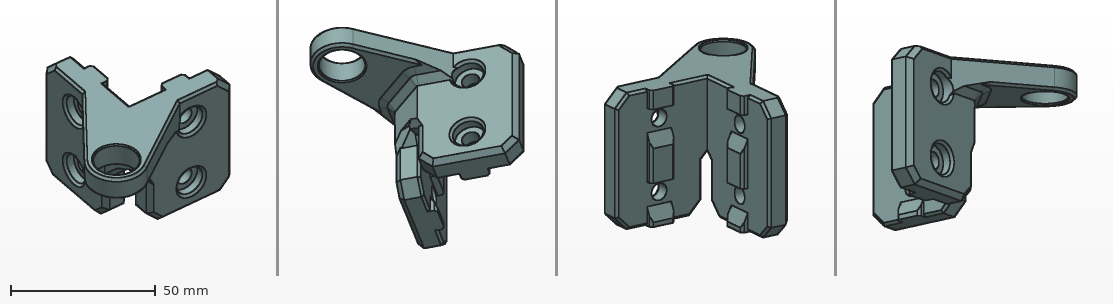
import cadquery as cq
import math


OVERALL = 70.5
HEIGHT = 50.0
LEG = 38.0
WALL = 9.0
CORNER_CUT = 5.0
OUTER_BEVEL = 2.0
EDGE_BEVEL = 1.0
BEVEL_ANGLE = 45.0
CORNER_SETBACK = 11.0

NOTCH_GAP = 2.0
NOTCH_SLOPE_START = 19.6
NOTCH_BEVEL_START = 20.0
NOTCH_TOP = HEIGHT / 2

RING_RADIUS = 11.0
RING_BORE = 16.0
RING_BORE_BEVEL = 0.5
RING_OFFSET = OVERALL - LEG - RING_RADIUS
ARM_THICKNESS = 9.0
ARM_START = 15.0
GUSSET_DROP = 13.0
GUSSET_STEEP = 2.7
GUSSET_SHALLOW_ANGLE = 22.5

RIB_CENTRE = 20.0
RIB_WIDTH = 10.15
RIB_HEIGHT = 2.5
RIB_RAMP = 5.2
TOP_RIB_BASE = 43.0
MIDDLE_RIB_BASE = 16.0
MIDDLE_RIB_TOP = 34.0
BOTTOM_RIB_TOP = 7.0
HOLE_DIAMETER = 6.3
COUNTERBORE_DIAMETER = 11.0
COUNTERBORE_DEPTH = 4.0
HEAD_CLEARANCE = 7.05
FRONT_HOLE_SPACING = 26.0
SIDE_HOLE_SPACING = 27.0

SPACE = 281.95


def half_space(point, normal, along):
    """Block that fills the side of a plane that its normal points to."""
    plane = cq.Plane(origin=point, xDir=along, normal=normal)
    return cq.Workplane(plane).rect(SPACE, SPACE).extrude(SPACE)


def mirrored(body):
    """Copy of a front plate feature on the side plate."""
    return body.mirror(cq.Vector(1, 1, 0), (0, 0, 0))


def plan(points, base, top):
    """Upright prism over a closed polygon in plan."""
    return cq.Workplane("XY", origin=(0, 0, base)).polyline(points).close().extrude(top - base)


def front_panel():
    """Bevelled front plate up to the notch."""
    low, high = CORNER_CUT, HEIGHT - CORNER_CUT
    left, right = -LEG, -NOTCH_GAP
    outline = [
        (left, low), (left + CORNER_CUT, 0), (right - CORNER_CUT, 0), (right, low),
        (right, HEIGHT), (left + CORNER_CUT, HEIGHT), (left, high),
    ]
    panel = cq.Workplane("XZ").polyline(outline).close().extrude(WALL)
    panel = panel.faces("<Y").edges("not >Z").chamfer(OUTER_BEVEL)
    panel = panel.faces("<Y").edges(">Z").chamfer(EDGE_BEVEL)
    return panel.faces(">Y").edges().chamfer(EDGE_BEVEL)


def front_corner():
    """Part of the front plate between the notch and the mitre plane."""
    left = -NOTCH_GAP - OUTER_BEVEL
    flat_start = WALL - CORNER_SETBACK
    flat_middle = WALL - CORNER_SETBACK / 2
    footprint = [(left, 0), (left, -WALL), (flat_start, -WALL), (flat_middle, -flat_middle), (0, 0)]
    lower = plan(footprint, 0, NOTCH_TOP)
    upper = plan(footprint, NOTCH_TOP, HEIGHT)
    slope_edge = (-NOTCH_GAP, OUTER_BEVEL - WALL, NOTCH_SLOPE_START)
    outer_edge = (-NOTCH_GAP, OUTER_BEVEL - WALL, NOTCH_BEVEL_START)
    inner_edge = (-NOTCH_GAP, -EDGE_BEVEL, NOTCH_SLOPE_START)
    lower = lower.cut(half_space(slope_edge, (1, 0, -1), (0, 1, 0)))
    lower = lower.cut(half_space(outer_edge, (2, -1, -1), (1, 1, 1)))
    lower = lower.cut(half_space(inner_edge, (1, math.sqrt(2), -1), (1, 0, 1)))
    top_edge = half_space((0, -EDGE_BEVEL, HEIGHT), (0, 1, 1), (1, 0, 0))
    return lower.union(upper.cut(top_edge))


def rib(base, top, ramp):
    """Rib on the inner face of the front plate, with an optional ramp at its upper end."""
    root = -EDGE_BEVEL
    half = RIB_WIDTH / 2
    shoulder = half - EDGE_BEVEL
    section = [
        (-half, root), (half, root), (half, RIB_HEIGHT - EDGE_BEVEL), (shoulder, RIB_HEIGHT),
        (-shoulder, RIB_HEIGHT), (-half, RIB_HEIGHT - EDGE_BEVEL),
    ]
    body = plan(section, base, top)
    if ramp:
        body = body.cut(half_space((0, 0, top), (0, ramp, RIB_HEIGHT), (1, 0, 0)))
    return body.translate((-RIB_CENTRE, 0, 0))


def screw_holes(spacing):
    """Counterbored through holes of the front plate; returns their cones and their bores."""
    radius = COUNTERBORE_DIAMETER / 2
    cones = cq.Workplane()
    bores = cq.Workplane()
    for height in (HEIGHT / 2 - spacing / 2, HEIGHT / 2 + spacing / 2):
        face = cq.Workplane("XZ", origin=(-RIB_CENTRE, -WALL, height))
        cone = face.circle(radius + EDGE_BEVEL).extrude(-EDGE_BEVEL, taper=BEVEL_ANGLE)
        through = face.circle(HOLE_DIAMETER / 2).extrude(-WALL - RIB_HEIGHT)
        floor = face.workplane(offset=-COUNTERBORE_DEPTH)
        head = floor.circle(radius).extrude(COUNTERBORE_DEPTH + HEAD_CLEARANCE)
        cones = cones.add(cone)
        bores = bores.add(through.union(head))
    return cones.combine(), bores.combine()


def arm_outline(z):
    """Plan of the arm: two sides tangent to the ring, rooted inside the plates."""
    reach_x = RING_OFFSET + ARM_START
    reach_y = WALL - RING_OFFSET
    tilt = math.asin(RING_RADIUS / math.hypot(reach_x, reach_y))
    heading = math.atan2(reach_y, reach_x) - tilt
    tangent = (RING_OFFSET + RING_RADIUS * math.sin(heading),
               -RING_OFFSET - RING_RADIUS * math.cos(heading))
    far = RING_OFFSET + RING_RADIUS / math.sqrt(2)
    root_y = -WALL / 2
    root_x = -ARM_START + (root_y + WALL) / math.tan(heading)
    return (
        cq.Workplane("XY", origin=(0, 0, z))
        .moveTo(root_x, root_y)
        .lineTo(*tangent)
        .threePointArc((far, -far), (-tangent[1], -tangent[0]))
        .lineTo(-root_y, -root_x)
        .lineTo(WALL / 4, -WALL / 4)
        .close()
    )


def arm():
    """Flat arm with bevelled sides and ring end."""
    slab = arm_outline(HEIGHT - ARM_THICKNESS).extrude(ARM_THICKNESS)
    return slab.faces("<Z or >Z").edges().chamfer(EDGE_BEVEL)


def gusset():
    """Two-step widening from the outer plate faces to the underside of the arm."""
    flat_start = WALL - CORNER_SETBACK
    outline = [
        (-LEG, -WALL), (flat_start, -WALL), (WALL, -flat_start), (WALL, LEG), (-LEG, LEG),
    ]
    base = HEIGHT - GUSSET_DROP - EDGE_BEVEL
    shallow_rise = GUSSET_DROP - GUSSET_STEEP - ARM_THICKNESS + EDGE_BEVEL
    steep = cq.Workplane("XY", origin=(0, 0, base)).polyline(outline).close()
    steep = steep.offset2D(-EDGE_BEVEL).extrude(GUSSET_STEEP + EDGE_BEVEL, taper=-BEVEL_ANGLE)
    shallow = steep.faces(">Z").wires().toPending().extrude(
        shallow_rise, taper=GUSSET_SHALLOW_ANGLE - 90)
    return shallow.intersect(arm_outline(base).extrude(HEIGHT - base))


def ring_bore():
    """Through bore of the ring with both rims bevelled."""
    rim_radius = RING_BORE / 2 + RING_BORE_BEVEL
    underside = HEIGHT - ARM_THICKNESS
    bore = cq.Workplane("XY", origin=(0, 0, underside)).circle(RING_BORE / 2).extrude(ARM_THICKNESS)
    for height, depth in ((HEIGHT, -RING_BORE_BEVEL), (underside, RING_BORE_BEVEL)):
        rim = cq.Workplane("XY", origin=(0, 0, height)).circle(rim_radius).extrude(depth, taper=BEVEL_ANGLE)
        bore = bore.union(rim)
    return bore.translate((RING_OFFSET, -RING_OFFSET, 0))


plate = front_panel().union(front_corner())
angle = plate.union(mirrored(plate))

front_cones, front_bores = screw_holes(FRONT_HOLE_SPACING)
side_cones, side_bores = screw_holes(SIDE_HOLE_SPACING)
angle = angle.cut(front_cones).cut(mirrored(side_cones))

result = angle.union(gusset()).union(arm())
for base, top, ramp in (
    (0, BOTTOM_RIB_TOP, RIB_RAMP),
    (MIDDLE_RIB_BASE, MIDDLE_RIB_TOP, RIB_RAMP),
    (TOP_RIB_BASE, HEIGHT, 0),
):
    front_rib = rib(base, top, ramp)
    result = result.union(front_rib).union(mirrored(front_rib))
result = result.cut(front_bores).cut(mirrored(side_bores)).cut(ring_bore())